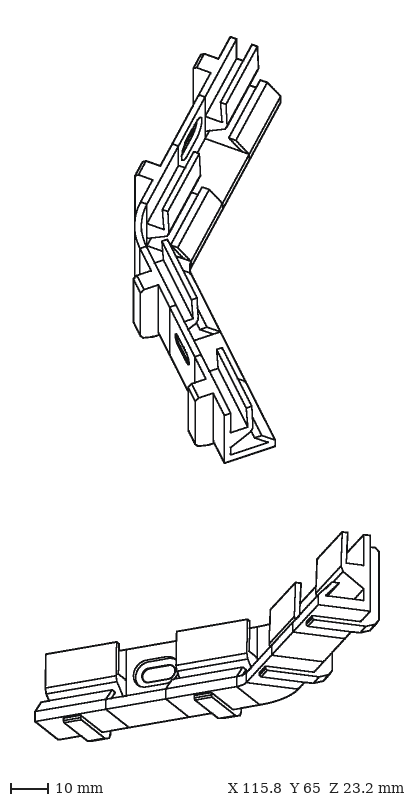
import cadquery as cq


height = 23.2
depth = 14.8
bend_angle = 46.0
outer_bend_radius = 19.8
heading = 0.2

clip_length = 21.1
plate_length = 17.8

wall = 1.9
floor_bottom = 1.2
floor_thickness = 2.9
floor_top = floor_bottom + floor_thickness

slot_length = 9.8
slot_width = 4.0
slot_height = 15.2
slot_skin = 0.5
recess_margin = 1.9

foot_top = 8.2
foot_crest_outer = 8.8
foot_crest_inner = 10.9
foot_wall = foot_crest_inner - foot_crest_outer

lip_outer_top = 6.4
lip_inner_top = 8.0
lip_outer_base = 6.8
lip_inner_base = 8.3
groove_floor = 14.3
lip_base = 13.2
lip_corner = (7.8, 11.7)
haunch_foot = 7.4

rib_width = 5.1
rib_reach = 5.2
rib_top_chamfer = 1.0
rib_face_bottom = 2.3
rib_heel = (-4.4, 1.0)
rib_heel_end = -1.5
rail_end = 13.8
rail_end_chamfer = 0.5
rib_root = wall / 2
rail_root = floor_bottom + floor_thickness / 2


def extruded_section(points, length):
    """Extrude a (depth, height) outline along X, centred on X = 0."""
    return cq.Workplane("YZ").polyline(points).close().extrude(length / 2, both=True)


def make_rib():
    outline = [
        (rib_root, height),
        (rib_top_chamfer - rib_reach, height),
        (-rib_reach, height - rib_top_chamfer),
        (-rib_reach, rib_face_bottom),
        rib_heel,
        (rib_heel_end, 0),
        (rail_end - rail_end_chamfer, 0),
        (rail_end, rail_end_chamfer),
        (rail_end, rail_root),
        (rib_root, rail_root),
    ]
    return extruded_section(outline, rib_width)


def make_clip():
    outline = [
        (0, floor_bottom),
        (depth, floor_bottom),
        (depth, floor_top),
        (foot_crest_inner, foot_top),
        (foot_crest_outer, foot_top),
        (depth - foot_wall, floor_top),
        (wall, floor_top),
        (wall, haunch_foot),
        lip_corner,
        (lip_inner_base, lip_base),
        (lip_inner_top, height),
        (lip_outer_top, height),
        (lip_outer_base, groove_floor),
        (wall, groove_floor),
        (wall, height),
        (0, height),
    ]
    return extruded_section(outline, clip_length).union(make_rib())


angle_section = [
    (0, floor_bottom),
    (depth, floor_bottom),
    (depth, floor_top),
    (wall, floor_top),
    (wall, height),
    (0, height),
]


def make_slot(margin, start, end):
    """Slot-shaped cutter, widened by a margin, between two depths in the wall."""
    return (
        cq.Workplane("XZ", origin=(0, end, slot_height))
        .slot2D(slot_length + 2 * margin, slot_width + 2 * margin)
        .extrude(end - start)
    )


def make_plate():
    plate = extruded_section(angle_section, plate_length)
    slot = make_slot(0, 0, wall)
    recess = make_slot(recess_margin, slot_skin, wall)
    return plate.cut(slot).cut(recess)


def make_bend():
    """Sweep the wall-and-floor section round the bend centre, towards -X."""
    return (
        cq.Workplane("YZ")
        .polyline(angle_section)
        .close()
        .revolve(bend_angle, (outer_bend_radius, 0), (outer_bend_radius, -1))
    )


def turned(part, angle):
    """Turn a part clockwise, seen from above, about the bend centre."""
    return part.rotate((0, outer_bend_radius, 0), (0, outer_bend_radius, 1), -angle)


clip_stations = [clip_length / 2, 1.5 * clip_length + plate_length]
plate_station = clip_length + plate_length / 2

arms = [(1, heading), (-1, heading + bend_angle)]

bend = turned(make_bend(), heading)

clips = []
plates = []
for direction, turn in arms:
    for station in clip_stations:
        clip = make_clip().translate((direction * station, 0, 0))
        clips.append(turned(clip, turn).val())
    plate = make_plate().translate((direction * plate_station, 0, 0))
    plates.append(turned(plate, turn).val())

result = cq.Compound.makeCompound([bend.val(), *clips, *plates])